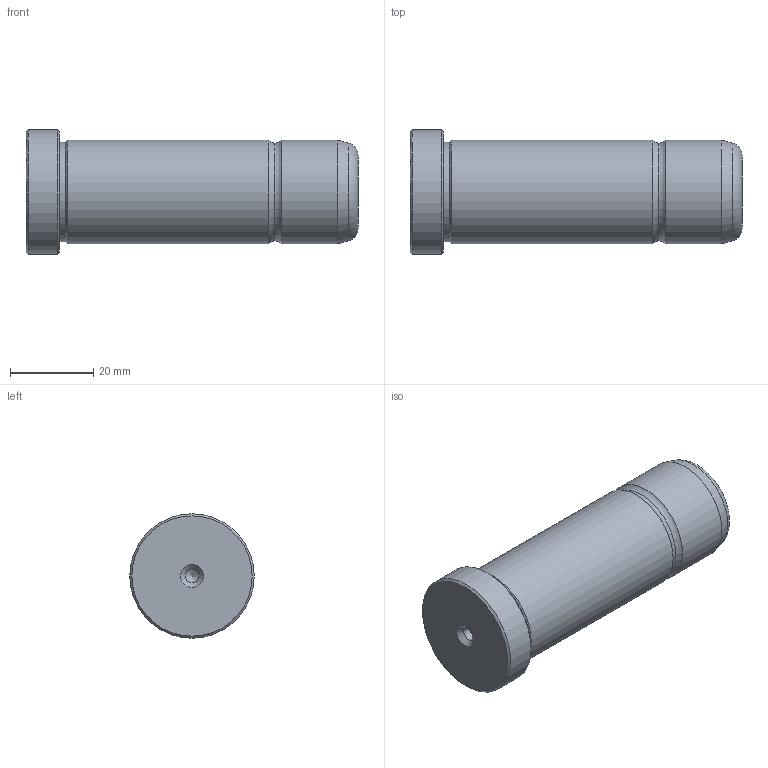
import cadquery as cq
import math

total_length = 80.0
body_radius = 12.5

head_radius = 15.0
head_length = 8.0
head_chamfer = 0.5

neck_radius = 12.0
neck_end = 10.0
neck_chamfer = body_radius - neck_radius

groove_center = 60.0
groove_half_width = 1.6
groove_radius = 2.2
groove_depth = 0.7

lead_start = 75.0
lead_angle = math.radians(15.0)
tip_round = 3.0

countersink_radius = 2.8
countersink_angle = math.radians(90.0)
pilot_radius = 1.6
pilot_depth = 5.0
drill_point_angle = math.radians(118.0)


def make_pin():
    """Solid of revolution for the head, neck, body, groove and lead-in."""
    round_center_x = total_length - tip_round
    lead_end = round_center_x + tip_round * math.sin(lead_angle)
    lead_end_radius = body_radius - (lead_end - lead_start) * math.tan(lead_angle)
    tip_radius = lead_end_radius - tip_round * math.cos(lead_angle)

    mid_angle = (lead_angle + math.pi / 2) / 2
    round_mid = (
        round_center_x + tip_round * math.sin(mid_angle),
        tip_radius + tip_round * math.cos(mid_angle),
    )

    profile = (
        cq.Workplane("XY")
        .moveTo(0, 0)
        .lineTo(0, head_radius - head_chamfer)
        .lineTo(head_chamfer, head_radius)
        .lineTo(head_length - head_chamfer, head_radius)
        .lineTo(head_length, head_radius - head_chamfer)
        .lineTo(head_length, neck_radius)
        .lineTo(neck_end - neck_chamfer, neck_radius)
        .lineTo(neck_end, body_radius)
        .lineTo(groove_center - groove_half_width, body_radius)
        .radiusArc((groove_center, body_radius - groove_depth), -groove_radius)
        .radiusArc((groove_center + groove_half_width, body_radius), -groove_radius)
        .lineTo(lead_start, body_radius)
        .lineTo(lead_end, lead_end_radius)
        .threePointArc(round_mid, (total_length, tip_radius))
        .lineTo(total_length, 0)
        .close()
    )
    return profile.revolve(360, (0, 0, 0), (1, 0, 0))


def make_center_hole():
    """Countersink, pilot bore and drill point removed from the head face."""
    countersink_depth = (countersink_radius - pilot_radius) / math.tan(countersink_angle / 2)
    point_depth = pilot_radius / math.tan(drill_point_angle / 2)
    profile = (
        cq.Workplane("XY")
        .moveTo(0, 0)
        .lineTo(0, countersink_radius)
        .lineTo(countersink_depth, pilot_radius)
        .lineTo(pilot_depth, pilot_radius)
        .lineTo(pilot_depth + point_depth, 0)
        .close()
    )
    return profile.revolve(360, (0, 0, 0), (1, 0, 0))


result = make_pin().cut(make_center_hole())